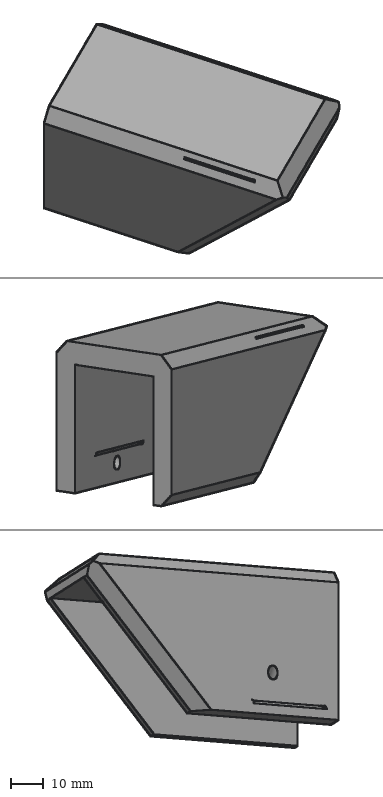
import cadquery as cq
import math

length = 80
width = 44.2
height = 47.0
wall = 7.0
bevel = 4

slope_top_depth = 7.1
bottom_length = 46.5

slot_start = 45.8
slot_length = 23.4
slot_thickness = 0.6
slot_mouth_depth = 1.7

hole_diameter = 3.0
hole_x = 21.3
hole_inner_z = -17.4

half_width = width / 2
half_height = height / 2
inner_half_width = half_width - wall
slope_top_z = half_height - slope_top_depth


def make_body():
    """Channel section with beveled edges, trimmed to the sloping end outline."""
    section = (
        cq.Workplane("YZ")
        .polyline([
            (-half_width, bevel - half_height),
            (-half_width, half_height - bevel),
            (bevel - half_width, half_height),
            (half_width - bevel, half_height),
            (half_width, half_height - bevel),
            (half_width, -half_height),
            (inner_half_width, -half_height),
            (inner_half_width, half_height - wall),
            (-inner_half_width, half_height - wall),
            (-inner_half_width, -half_height),
            (bevel - half_width, -half_height),
        ])
        .close()
        .extrude(length)
    )
    side_outline = (
        cq.Workplane("XZ")
        .polyline([
            (0, -half_height),
            (0, half_height),
            (length - bevel, half_height),
            (length, half_height - bevel),
            (length, slope_top_z),
            (bottom_length, -half_height),
        ])
        .close()
        .extrude(half_width, both=True)
    )
    return section.intersect(side_outline)


def slope_bevel(side):
    """Triangular cutter along one side edge of the slope; side is -1 or +1 in Y."""
    along_slope = cq.Vector(length - bottom_length, 0, slope_top_z + half_height)
    slope_top_corner = (length, side * half_width, slope_top_z)
    plane = cq.Plane(origin=slope_top_corner, xDir=(0, side, 0), normal=along_slope)
    inward = -math.copysign(bevel, plane.yDir.x)
    return (
        cq.Workplane(plane)
        .polyline([(0, 0), (-bevel, 0), (0, inward)])
        .close()
        .extrude(length, both=True)
    )


def make_slot_cutter():
    """Slot square to the top bevel, its ends leaning by equal steps in -X, +Y and -Z."""
    mouth_y = bevel - slot_mouth_depth - half_width
    mouth_z = half_height - slot_mouth_depth
    plane = cq.Plane(origin=(slot_start, mouth_y, mouth_z), xDir=(1, 0, 0), normal=(0, -1, -1))
    root_two = math.sqrt(2)
    outward = bevel
    inward = -width
    return (
        cq.Workplane(plane)
        .polyline([
            (outward, outward * root_two),
            (outward + slot_length, outward * root_two),
            (inward + slot_length, inward * root_two),
            (inward, inward * root_two),
        ])
        .close()
        .extrude(slot_thickness / 2, both=True)
    )


def make_hole_cutter():
    """Hole rising outward at 45 degrees from the inner face of the back wall."""
    plane = cq.Plane(origin=(hole_x, inner_half_width, hole_inner_z), xDir=(1, 0, 0), normal=(0, 1, 1))
    through_wall = 2 * wall
    return cq.Workplane(plane).circle(hole_diameter / 2).extrude(through_wall, both=True)


result = make_body()
for side in (-1, 1):
    result = result.cut(slope_bevel(side))
result = result.cut(make_slot_cutter()).cut(make_hole_cutter())